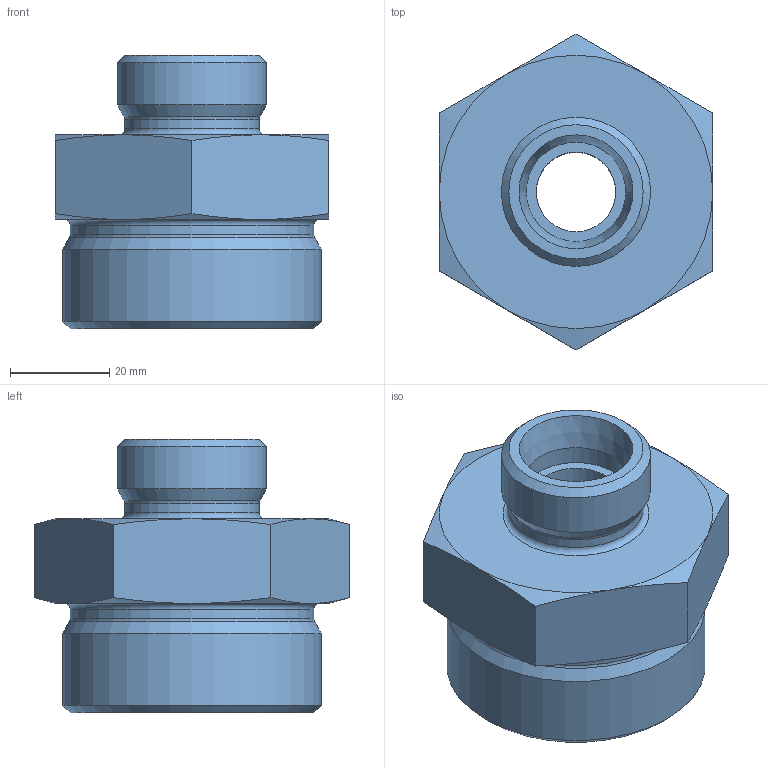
import math

import cadquery as cq

total_height = 55.0
hex_bottom = 22.0
hex_height = 17.0
hex_top = hex_bottom + hex_height

hex_across_flats = 55.0
hex_across_corners = hex_across_flats / math.cos(math.pi / 6)
hex_chamfer_angle = 15.0

upper_thread_diameter = 30.0
upper_groove_diameter = 27.0
lower_thread_diameter = 52.0
lower_groove_diameter = 49.0
end_chamfer = 1.5

undercut_width = 6.0
runout_angle = 30.0
undercut_radius = 1.2

bore_diameter = 16.0
tube_diameter = 20.0
tube_stop_depth = 10.5
cone_mouth_diameter = 22.9
cone_half_angle = 12.0

root_overlap = 1.0
envelope_clearance = 1.0


def revolve_about_axis(points):
    """Solid of revolution about Z from (radius, height) points."""
    return cq.Workplane("XZ").polyline(points).close().revolve(360, (0, 0), (0, 1))


def hexagon():
    """Hexagonal collar, corners on the Y axis, with conical chamfers on both faces."""
    prism = (
        cq.Workplane("XY", origin=(0, 0, hex_bottom))
        .polygon(6, hex_across_corners)
        .extrude(hex_height)
        .rotate((0, 0, 0), (0, 0, 1), 90)
    )
    flat_radius = hex_across_flats / 2
    envelope_radius = hex_across_corners / 2 + envelope_clearance
    drop = (envelope_radius - flat_radius) * math.tan(math.radians(hex_chamfer_angle))
    envelope = revolve_about_axis([
        (0, hex_bottom),
        (flat_radius, hex_bottom),
        (envelope_radius, hex_bottom + drop),
        (envelope_radius, hex_top - drop),
        (flat_radius, hex_top),
        (0, hex_top),
    ])
    return prism.intersect(envelope)


def spigot(thread_diameter, groove_diameter, length):
    """Spigot rising from z = 0, with a rounded undercut at its root and a chamfered end."""
    thread_radius = thread_diameter / 2
    groove_radius = groove_diameter / 2
    runout_length = (thread_radius - groove_radius) / math.tan(math.radians(runout_angle))
    groove_end = undercut_width - runout_length

    root_radius = groove_radius + undercut_radius

    tangent_length = undercut_radius * math.tan(math.radians(runout_angle / 2))
    round_start = groove_end - tangent_length

    def round_point(angle):
        turn = math.radians(angle)
        return (
            root_radius - undercut_radius * math.cos(turn),
            round_start + undercut_radius * math.sin(turn),
        )

    root_sagitta = undercut_radius * (1 - math.sqrt(0.5))
    root_arc_middle = (groove_radius + root_sagitta, root_sagitta)

    profile = (
        cq.Workplane("XZ")
        .moveTo(0, -root_overlap)
        .lineTo(root_radius, -root_overlap)
        .lineTo(root_radius, 0)
        .threePointArc(root_arc_middle, (groove_radius, undercut_radius))
        .lineTo(groove_radius, round_start)
        .threePointArc(round_point(runout_angle / 2), round_point(runout_angle))
        .lineTo(thread_radius, undercut_width)
        .lineTo(thread_radius, length - end_chamfer)
        .lineTo(thread_radius - end_chamfer, length)
        .lineTo(0, length)
        .close()
    )
    return profile.revolve(360, (0, 0), (0, 1))


def bore():
    """Through bore, stepped up to the tube seat and opening into the sealing cone."""
    bore_radius = bore_diameter / 2
    tube_radius = tube_diameter / 2
    mouth_radius = cone_mouth_diameter / 2
    cone_depth = (mouth_radius - tube_radius) / math.tan(math.radians(cone_half_angle))
    tube_stop = total_height - tube_stop_depth
    return revolve_about_axis([
        (0, 0),
        (bore_radius, 0),
        (bore_radius, tube_stop),
        (tube_radius, tube_stop),
        (tube_radius, total_height - cone_depth),
        (mouth_radius, total_height),
        (0, total_height),
    ])


upper_spigot = spigot(
    upper_thread_diameter, upper_groove_diameter, total_height - hex_top
).translate((0, 0, hex_top))

lower_spigot = (
    spigot(lower_thread_diameter, lower_groove_diameter, hex_bottom)
    .rotate((0, 0, 0), (1, 0, 0), 180)
    .translate((0, 0, hex_bottom))
)

result = hexagon().union(upper_spigot).union(lower_spigot).cut(bore())